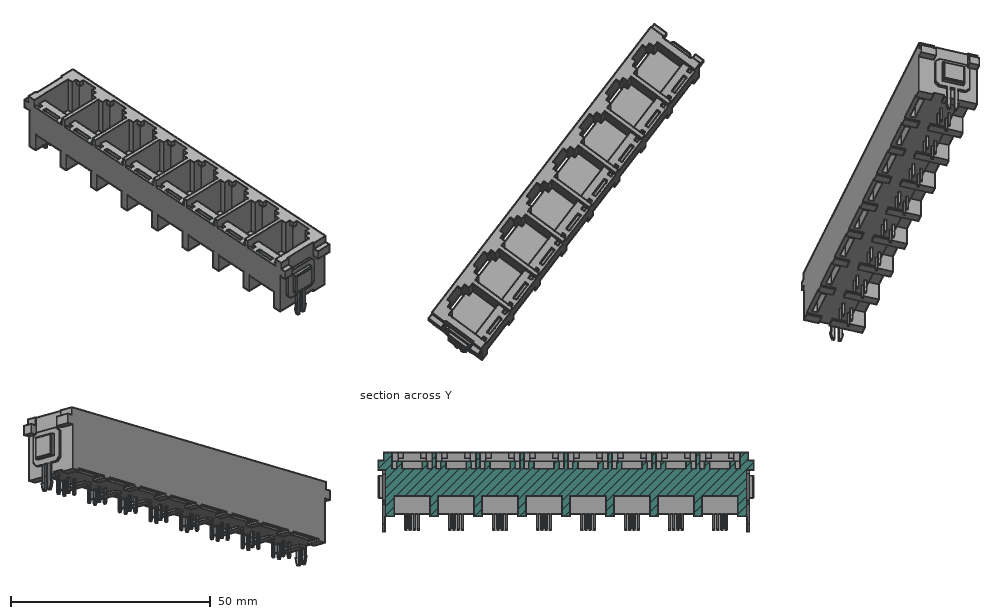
import cadquery as cq

total_length = 94.0
depth = 15.4
height = 16.0
front_y = -depth / 2
back_y = depth / 2

jack_count = 8
pitch = 11.0
jack_centers = [((i - (jack_count - 1) / 2) * pitch, 0) for i in range(jack_count)]

housing_length = 90.4
upper_length = 91.2
ear_top_z = 14.0
ear_bottom_z = 11.6
ear_back_y = 3.8
ear_front_y = -5.2

cavity_width = 10.0
cavity_back_y = 4.0
floor_z = 6.0
lip_z = 13.8
lip_back_y = -4.0
keyway_width = 7.05
keyway_back_y = 5.45
latch_width = 4.3
latch_back_y = 6.6
latch_front_y = 5.2
latch_tab_height = 1.4

lip_slot_y = -6.5
lip_slot_depth = 1.9
lip_slot_breadth = 0.9
center_slot_length = 5.0
corner_slot_length = 1.1

window_width = 8.9
window_top_z = 5.1
window_back_y = -3.4
foot_height = 0.6
channel_back_y = 3.8
channel_front_y = 0.9

pin_count = 4
pin_pitch = 1.0
pin_size = 0.6
pin_bottom_z = -3.5
pin_tip_chamfer = 0.1
pin_tip_length = 0.5
pin_row_ys = (0.1, -2.35)

lock_y = -1.0
plate_thickness = 0.7
plate_width = 9.0
plate_top_z = 11.75
plate_bottom_z = 3.0
plate_corner = 1.0
pad_size = 5.6
pad_chamfer = 0.3
leg_bottom_z = -3.9
leg_inner = 0.6
leg_outer = 1.4
leg_tip_chamfer = 0.3
barb_reach = 0.3
barb_top_z = -1.8
barb_bottom_z = -3.0


def block(x_range, y_range, z_range):
    """Box between the given limits."""
    (x0, x1), (y0, y1), (z0, z1) = x_range, y_range, z_range
    return cq.Workplane("XY").box(x1 - x0, y1 - y0, z1 - z0, centered=False).translate((x0, y0, z0))


def wide_block(center_x, width, y_range, z_range):
    """Box of the given X width about center_x."""
    return block((center_x - width / 2, center_x + width / 2), y_range, z_range)


def make_housing():
    """Solid housing with wider upper corners and locating ears."""
    body = wide_block(0, housing_length, (front_y, back_y), (0, height))
    for y_range in ((front_y, ear_front_y), (ear_back_y, back_y)):
        body = body.union(wide_block(0, upper_length, y_range, (ear_bottom_z, height)))
        body = body.union(wide_block(0, total_length, y_range, (ear_bottom_z, ear_top_z)))
    return body


def jack_opening():
    """Everything removed from the top of the housing for a jack centred on X = 0."""
    opening = wide_block(0, cavity_width, (lip_back_y, cavity_back_y), (floor_z, height))
    opening = opening.union(wide_block(0, cavity_width, (front_y, lip_back_y), (lip_z, height)))
    opening = opening.union(wide_block(0, keyway_width, (cavity_back_y, keyway_back_y), (floor_z, height)))
    shaft_y = (latch_front_y, latch_back_y)
    tab_z = height - latch_tab_height
    opening = opening.union(wide_block(0, keyway_width, shaft_y, (0, tab_z)))
    opening = opening.union(wide_block(0, latch_width, shaft_y, (tab_z, height)))
    slot_y = (lip_slot_y - lip_slot_breadth / 2, lip_slot_y + lip_slot_breadth / 2)
    slot_z = (lip_z - lip_slot_depth, lip_z)
    opening = opening.union(wide_block(0, center_slot_length, slot_y, slot_z))
    for side in (-1, 1):
        slot_x = side * (cavity_width - corner_slot_length) / 2
        opening = opening.union(wide_block(slot_x, corner_slot_length, slot_y, slot_z))
    return opening


def underside_relief():
    """Front window and raised underside between the posts of a jack."""
    window = wide_block(0, window_width, (front_y, window_back_y), (0, window_top_z))
    return window.union(wide_block(0, window_width, (front_y, back_y), (0, foot_height)))


def contact_pin(x, y):
    """One tapered contact pin."""
    y_range = (y - pin_size / 2, y + pin_size / 2)
    pin = wide_block(x, pin_size, y_range, (pin_bottom_z, foot_height))
    return pin.faces("<Z").chamfer(pin_tip_length, pin_tip_chamfer)


def contact_pins():
    """Staggered contact pins of a jack centred on X = 0."""
    pins = []
    for i in range(pin_count):
        pin_x = (i - (pin_count - 1) / 2) * pin_pitch
        pin_y = pin_row_ys[i % len(pin_row_ys)]
        pins.append(contact_pin(pin_x, pin_y).val())
    return cq.Compound.makeCompound(pins)


def lock_leg(side):
    """One barbed leg on the given side of the lock."""
    outline = [
        (leg_inner, plate_bottom_z),
        (leg_inner, leg_bottom_z),
        (leg_outer - leg_tip_chamfer, leg_bottom_z),
        (leg_outer, barb_bottom_z),
        (leg_outer + barb_reach, barb_top_z),
        (leg_outer, barb_top_z),
        (leg_outer, plate_bottom_z),
    ]
    points = [(lock_y + side * y, z) for y, z in outline]
    return cq.Workplane("YZ").polyline(points).close().extrude(plate_thickness)


def make_board_lock():
    """Board lock on the +X end of the housing."""
    plate_z = (plate_bottom_z, plate_top_z)
    plate_y = (lock_y - plate_width / 2, lock_y + plate_width / 2)
    plate = block((0, plate_thickness), plate_y, plate_z).edges("|X").chamfer(plate_corner)
    pad_reach = (total_length - housing_length) / 2
    pad_z = (plate_bottom_z + plate_top_z) / 2
    pad = (
        cq.Workplane("YZ")
        .center(lock_y, pad_z)
        .rect(pad_size, pad_size)
        .extrude(pad_reach)
        .faces(">X")
        .chamfer(pad_chamfer)
    )
    lock = plate.union(pad).union(lock_leg(-1)).union(lock_leg(1))
    return lock.translate((housing_length / 2, 0, 0))


def at_each_jack(body, shape, combine):
    """Cut or add a shape at every jack position."""
    jacks = cq.Workplane("XY").add(body).pushPoints(jack_centers)
    return jacks.eachpoint(lambda location: shape.moved(location), combine=combine)


channel = wide_block(0, housing_length, (channel_front_y, channel_back_y), (0, foot_height))
housing = make_housing().cut(channel)
housing = at_each_jack(housing, jack_opening().union(underside_relief()).val(), "cut")
housing = at_each_jack(housing, contact_pins(), "a")

board_lock = make_board_lock()
result = housing.union(board_lock).union(board_lock.mirror("YZ"))